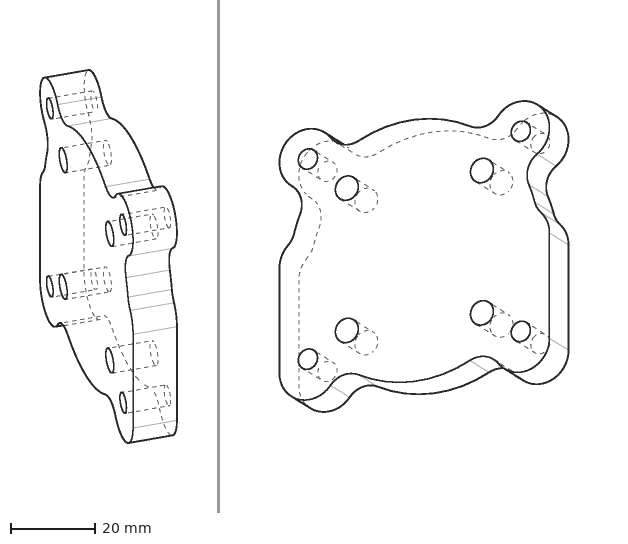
import cadquery as cq
import math

width = 70.6
height = 67.2
thickness = 11.0

disc_radius = 32.5
lobe_radius = 7.5
blend_radius = 6.0
lobe_x = width / 2 - lobe_radius
lobe_z = height / 2 - lobe_radius
shoulder_z = 0.0

corner_hole_diameter = 5.0
lower_hole_z = -23.5
inner_hole_diameter = 6.0
inner_hole_spacing = 35.3


def blend_centre(lobe, side):
    """Centre of the blend tangent to the disc and a lobe; side +1 is counterclockwise of it, -1 clockwise."""
    lobe_distance = math.hypot(*lobe)
    to_disc = disc_radius + blend_radius
    to_lobe = lobe_radius + blend_radius
    along = (to_disc**2 - to_lobe**2 + lobe_distance**2) / (2 * lobe_distance)
    across = side * math.sqrt(to_disc**2 - along**2)
    unit_x = lobe[0] / lobe_distance
    unit_z = lobe[1] / lobe_distance
    return (along * unit_x - across * unit_z, along * unit_z + across * unit_x)


def toward(start, target, distance):
    """Point at the given distance from start in the direction of target."""
    scale = distance / math.dist(start, target)
    return (start[0] + scale * (target[0] - start[0]), start[1] + scale * (target[1] - start[1]))


def arc_about(outline, centre, radius, start, end):
    """Add the shorter arc about centre from start to end."""
    chord_middle = ((start[0] + end[0]) / 2, (start[1] + end[1]) / 2)
    return outline.threePointArc(toward(centre, chord_middle, radius), end)


disc_centre = (0.0, 0.0)
top_lobe = (lobe_x, lobe_z)
shoulder = (lobe_x, shoulder_z)
bottom_lobe = (lobe_x, -lobe_z)

top_blend = blend_centre(top_lobe, 1)
side_blend = blend_centre(top_lobe, -1)
shoulder_blend = blend_centre(shoulder, 1)
bottom_blend = blend_centre(bottom_lobe, -1)


def half_plate():
    """The +X half of the plate, closed along the centre plane."""
    disc_top = (0.0, disc_radius)
    disc_bottom = (0.0, -disc_radius)
    top_blend_start = toward(disc_centre, top_blend, disc_radius)
    top_lobe_start = toward(top_lobe, top_blend, lobe_radius)
    top_lobe_tip = toward(disc_centre, top_lobe, math.hypot(*top_lobe) + lobe_radius)
    top_lobe_end = toward(top_lobe, side_blend, lobe_radius)
    side_blend_end = toward(disc_centre, side_blend, disc_radius)
    shoulder_blend_start = toward(disc_centre, shoulder_blend, disc_radius)
    shoulder_start = toward(shoulder, shoulder_blend, lobe_radius)
    side_top = (width / 2, shoulder_z)
    side_bottom = (width / 2, -lobe_z)
    bottom_lobe_end = toward(bottom_lobe, bottom_blend, lobe_radius)
    bottom_blend_end = toward(disc_centre, bottom_blend, disc_radius)

    outline = cq.Workplane("XZ", origin=(0, thickness / 2, 0)).moveTo(*disc_top)
    outline = arc_about(outline, disc_centre, disc_radius, disc_top, top_blend_start)
    outline = arc_about(outline, top_blend, blend_radius, top_blend_start, top_lobe_start)
    outline = outline.threePointArc(top_lobe_tip, top_lobe_end)
    outline = arc_about(outline, side_blend, blend_radius, top_lobe_end, side_blend_end)
    outline = arc_about(outline, disc_centre, disc_radius, side_blend_end, shoulder_blend_start)
    outline = arc_about(outline, shoulder_blend, blend_radius, shoulder_blend_start, shoulder_start)
    outline = arc_about(outline, shoulder, lobe_radius, shoulder_start, side_top)
    outline = outline.lineTo(*side_bottom)
    outline = outline.threePointArc((lobe_x, -height / 2), bottom_lobe_end)
    outline = arc_about(outline, bottom_blend, blend_radius, bottom_lobe_end, bottom_blend_end)
    outline = arc_about(outline, disc_centre, disc_radius, bottom_blend_end, disc_bottom)
    return outline.close().extrude(thickness)


def holes(centres, diameter):
    """Through cutters at the given (x, z) centres."""
    face = cq.Workplane("XZ", origin=(0, thickness / 2, 0))
    return face.pushPoints(centres).circle(diameter / 2).extrude(thickness)


half = half_plate()
plate = half.union(half.mirror("YZ")).clean()

corner_holes = [(x, z) for x in (-lobe_x, lobe_x) for z in (lower_hole_z, lobe_z)]
inner_offset = inner_hole_spacing / 2
inner_holes = [(x, z) for x in (-inner_offset, inner_offset) for z in (-inner_offset, inner_offset)]
plate = plate.cut(holes(corner_holes, corner_hole_diameter))
result = plate.cut(holes(inner_holes, inner_hole_diameter))